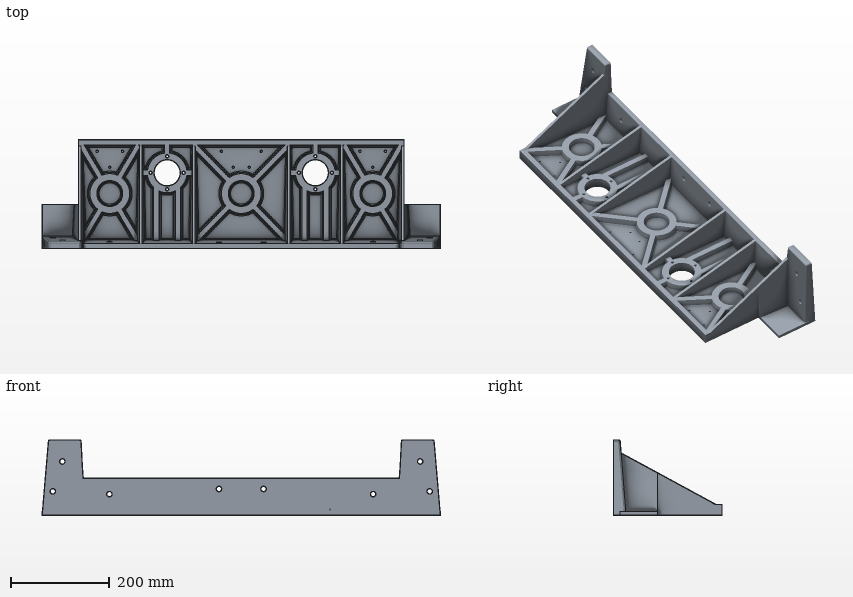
import cadquery as cq
import math

length = 806.0
depth = 220.0
height = 152.0

tray_half = 329.5
rim_z = 22.15
floor_z = 8.0
rim_inner_y = 209.5
pocket_draft = 12.0
floor_bevel = 2.0

wall_z = 75.0
wall_top_thick = 10.1
wall_foot_thick = 19.0

ear_top_outer = 390.0
ear_top_inner = 324.0
ear_foot_inner = 320.0
ear_top_thick = 14.0
ear_foot_thick = 26.0
ear_edge_radius = 3.0
ear_corner_radius = 3.0

flange_depth = 89.5
flange_thick = 7.0

slope_start_y = 207.0
side_wall_end_y = 16.0
side_wall_end_z = 126.0
web_thick = 6.0
web_x = (96.0, 203.0)
wall_draft = 5.0
pad_draft = 7.0

rib_width = 10.5
ring_diameter = 80.5
bore_diameter = 52.0
recess_draft = 10.0
end_bay_x = 266.0
bore_bay_x = 150.0
recess_y = 111.0
bore_y = 153.0
floor_rib_offset = 22.15

front_hole_diameter = 10.5
front_holes = ((45.0, 53.0), (267.0, 43.0), (381.0, 48.0), (362.0, 109.0))
ring_hole_diameter = 5.8
ring_hole_radius = 33.4
pin_hole_diameter = 4.1
pin_row_y = recess_y + 85.0
inner_pin_y = recess_y + 53.0
end_pin_offset = 26.0
centre_pins = ((40.0, pin_row_y), (16.0, inner_pin_y))


def block(x0, x1, y0, y1, z0, z1):
    return cq.Workplane("XY").box(x1 - x0, y1 - y0, z1 - z0, centered=False).translate((x0, y0, z0))


def side_profile(points, half_width):
    """Prism across X from an outline of (Y, Z) points."""
    return cq.Workplane("YZ").polyline(points).close().extrude(half_width, both=True)


def mirrored(shape):
    return shape.union(shape.mirror("YZ"))


def tapered_from_rim(sketch):
    """Extrude a rim-level outline down to the floor, widening with the pocket draft."""
    return sketch.extrude(-(rim_z - floor_z), taper=-pocket_draft)


def rim_plane():
    return cq.Workplane("XY").workplane(offset=rim_z)


def make_front_wall():
    return side_profile(
        [(0, 0), (wall_foot_thick, 0), (wall_top_thick, wall_z), (0, wall_z)], tray_half
    )


def make_ear():
    outline = [
        (ear_foot_inner, 0),
        (length / 2, 0),
        (ear_top_outer, height),
        (ear_top_inner, height),
        (ear_foot_inner, wall_z),
    ]
    ear = cq.Workplane("XZ").polyline(outline).close().extrude(-ear_foot_thick)
    ear = ear.intersect(
        side_profile([(0, 0), (ear_foot_thick, 0), (ear_top_thick, height), (0, height)], length)
    )
    top_corners = ear.faces(">Z").edges("<X or >X")
    ear = top_corners.fillet(ear_corner_radius)
    ear_middle_x = (ear_top_outer + ear_top_inner) / 2
    back_middle = (ear_middle_x, (ear_top_thick + ear_foot_thick) / 2, height / 2)
    back_edges = ear.faces(cq.NearestToPointSelector(back_middle)).edges("not <Z")
    return back_edges.fillet(ear_edge_radius)


def make_sloping_wall(x, end_y, end_z, draft):
    """Wall with a narrow crest falling towards the rear, widening downwards."""
    run = slope_start_y - end_y
    rise = end_z - rim_z
    crest = cq.Plane(
        origin=(x, slope_start_y, rim_z), xDir=(1, 0, 0), normal=(0, rise, run)
    )
    wall = cq.Workplane(crest).rect(web_thick, 4 * run).extrude(-height, taper=-draft)
    limits = side_profile(
        [(0, 0), (slope_start_y, 0), (slope_start_y, rim_z), (end_y, end_z), (0, end_z)], length
    )
    level_end = block(
        x - web_thick / 2, x + web_thick / 2, slope_start_y, rim_inner_y + web_thick, 0, rim_z
    )
    return wall.intersect(limits).union(level_end)


def make_side_wall():
    x = tray_half - web_thick / 2
    inner = make_sloping_wall(x, side_wall_end_y, side_wall_end_z, wall_draft)
    inner = inner.intersect(block(0, tray_half, 0, depth, 0, height))
    pad = make_sloping_wall(x, side_wall_end_y, side_wall_end_z, pad_draft)
    pad = pad.intersect(block(x, length / 2, 0, flange_depth, 0, height))
    return inner.union(pad)


def make_ring(x, y):
    return tapered_from_rim(rim_plane().center(x, y).circle(ring_diameter / 2))


def make_rib(x0, y0, x1, y1):
    """Straight drafted rib between two points."""
    angle = math.degrees(math.atan2(y1 - y0, x1 - x0))
    span = math.hypot(x1 - x0, y1 - y0)
    plane = rim_plane().center((x0 + x1) / 2, (y0 + y1) / 2).transformed(rotate=(0, 0, angle))
    return tapered_from_rim(plane.rect(span, rib_width))


def add_cross_bay(tray, x, half_width):
    """Ring with four ribs running to the corners of the bay."""
    half_depth = rim_inner_y - recess_y
    tray = tray.union(make_ring(x, recess_y))
    for x_sign in (-1, 1):
        for y_sign in (-1, 1):
            corner = (x + x_sign * half_width, recess_y + y_sign * half_depth)
            tray = tray.union(make_rib(x, recess_y, *corner))
    recess = rim_plane().center(x, recess_y).circle(bore_diameter / 2)
    return tray.cut(recess.extrude(-(rim_z - floor_z), taper=recess_draft))


def add_bore_bay(tray, x):
    """Ring tied to the rim and webs, with two ribs running to the front wall."""
    web_reach = (web_x[1] - web_x[0]) / 2
    tray = tray.union(make_ring(x, bore_y))
    tray = tray.union(make_rib(x, bore_y, x, rim_inner_y + rib_width / 2))
    tray = tray.union(make_rib(x - web_reach, bore_y, x + web_reach, bore_y))
    for offset in (-floor_rib_offset, floor_rib_offset):
        tray = tray.union(make_rib(x + offset, wall_top_thick, x + offset, bore_y))
    tray = tray.cut(rim_plane().center(x, bore_y).circle(bore_diameter / 2).extrude(-rim_z))
    ring_holes = rim_plane().center(x, bore_y).polarArray(ring_hole_radius, 0, 360, 4)
    return tray.cut(ring_holes.circle(ring_hole_diameter / 2).extrude(-rim_z))


def make_tray():
    tray = block(-tray_half, tray_half, 0, depth, 0, floor_z)
    rim_middle_y = (rim_inner_y + depth) / 2
    rim = tapered_from_rim(
        rim_plane().center(0, rim_middle_y).rect(2 * tray_half, depth - rim_inner_y)
    )
    tray = tray.union(rim)
    tray = tray.union(make_front_wall())
    for x in web_x:
        tray = tray.union(mirrored(make_sloping_wall(x, wall_top_thick, wall_z, wall_draft)))

    end_half_width = tray_half - web_thick - end_bay_x
    tray = add_cross_bay(tray, 0, web_x[0])
    for side in (-1, 1):
        tray = add_cross_bay(tray, side * end_bay_x, end_half_width)
        tray = add_bore_bay(tray, side * bore_bay_x)
    return tray.intersect(block(-tray_half, tray_half, 0, depth, 0, height))


def blend_floor_edges(body):
    """Bevel the foot of every wall, rib and ring where it meets the pocket floors."""
    tolerance = 0.1
    floor_level = cq.selectors.BoxSelector(
        (-tray_half, 0, floor_z - tolerance), (tray_half, depth, floor_z + tolerance), boundingbox=True
    )
    return body.edges(floor_level).chamfer(floor_bevel)


def drill_front_holes(body):
    points = [(side * x, z) for x, z in front_holes for side in (-1, 1)]
    drills = cq.Workplane("XZ").pushPoints(points).circle(front_hole_diameter / 2)
    return body.cut(drills.extrude(-ear_foot_thick))


def drill_pin_holes(body):
    points = list(centre_pins)
    points += [(end_bay_x + dx, pin_row_y) for dx in (-end_pin_offset, end_pin_offset)]
    points.append((end_bay_x, inner_pin_y))
    points += [(-x, y) for x, y in points]
    return body.cut(
        cq.Workplane("XY").pushPoints(points).circle(pin_hole_diameter / 2).extrude(rim_z)
    )


flange = block(tray_half - web_thick, length / 2, ear_top_thick, flange_depth, 0, flange_thick)
end_parts = flange.union(make_ear()).union(make_side_wall())

body = make_tray().union(mirrored(end_parts))
body = blend_floor_edges(body)
body = drill_front_holes(body)
result = drill_pin_holes(body)